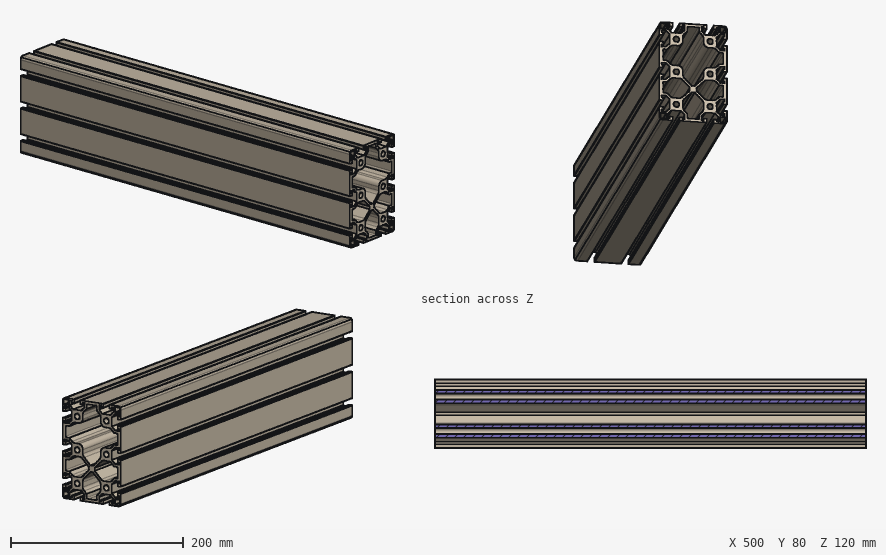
import cadquery as cq


length = 500.0
cell = 40.0
columns = 2
rows = 3
half_width = columns * cell / 2
half_height = rows * cell / 2
half_cell = cell / 2
corner_radius = 4.0

mouth_half = 4.0
mouth_chamfer = 0.5
lip_half = 7.5
lip_depth = 4.5
undercut_depth = 2.5
groove_half = 10.0

side_skin = 4.5
top_skin = 3.5
wall = 3.0
core_width = 15.5
core_half = core_width / 2
groove_depth = half_cell - core_half
waist_radius = 6.0
skin_radius = 1.5
bore_radius = 3.35
web_half = 2.25
hub_half = 4.0
corner_skin = 1.75
corner_wall = 2.0

throat_half = half_cell - groove_half - wall
waist_half = half_cell - core_half
throat_depth = half_cell - (groove_half + wall - web_half)
waist_depth = half_cell - (core_half - web_half)
far_waist_depth = half_cell + (core_half - web_half)
hub_depth = cell - hub_half
tip_half = hub_half - web_half

select_margin = 0.5

skin_faces = {"left": "<Y", "right": ">Y", "bottom": "<Z", "top": ">Z"}

bore_y = [-half_cell, half_cell]
bore_z = [-cell, 0, cell]


def prism(points):
    """Extrude a closed (y, z) outline over the full length of the beam."""
    return cq.Workplane("YZ").polyline(points).close().extrude(length)


def mirrored(half_outline):
    """Close a half outline by reflecting its (offset, height) points about offset zero."""
    return half_outline + [(-offset, height) for offset, height in reversed(half_outline)]


def facing(outline, side, along):
    """Place an (offset, depth) outline on a face: left, right, bottom or top."""
    if side == "left":
        return [(depth - half_width, along + offset) for offset, depth in outline]
    if side == "right":
        return [(half_width - depth, along + offset) for offset, depth in outline]
    if side == "bottom":
        return [(along + offset, depth - half_height) for offset, depth in outline]
    return [(along + offset, half_height - depth) for offset, depth in outline]


def groove(side, along):
    """T-groove with a chamfered mouth, centred at the given place on a face."""
    shoulder_depth = half_cell - (groove_half + web_half)
    outline = mirrored([
        (mouth_half + mouth_chamfer, 0),
        (mouth_half, mouth_chamfer),
        (mouth_half, lip_depth),
        (lip_half, lip_depth),
        (lip_half, undercut_depth),
        (groove_half, undercut_depth),
        (groove_half, shoulder_depth),
        (core_half - web_half, groove_depth),
    ])
    return prism(facing(outline, side, along))


def round_cavity(cavity, faces):
    """Round the long cavity edges along the skin, then the ones at the cores."""
    for face in faces:
        cavity = cavity.faces(face).edges("|X").fillet(skin_radius)
    reach = core_half + select_margin
    for y in bore_y:
        for z in bore_z:
            near_core = cq.selectors.BoxSelector(
                (-select_margin, y - reach, z - reach),
                (length + select_margin, y + reach, z + reach),
            )
            edges = cavity.edges("|X").edges(near_core)
            if edges.size():
                cavity = edges.fillet(waist_radius)
    return cavity


def lower_cavity(side, along, skin):
    """Chamber between an outer face and the hub."""
    outline = mirrored([
        (throat_half, skin),
        (throat_half, throat_depth),
        (waist_half, waist_depth),
        (waist_half, far_waist_depth),
        (tip_half, hub_depth),
    ])
    return round_cavity(prism(facing(outline, side, along)), [skin_faces[side]])


def upper_cavity():
    """Large chamber reaching the top, left and right skins, narrowing down to the hub."""
    throat_y = half_width - throat_depth
    waist_y = half_width - waist_depth
    outline = mirrored([
        (throat_half, half_height - top_skin),
        (throat_half, half_height - throat_depth),
        (waist_half, half_height - waist_depth),
        (waist_half, half_cell + waist_half),
        (waist_y, half_cell + waist_half),
        (throat_y, half_cell + throat_half),
        (half_width - side_skin, half_cell + throat_half),
        (half_width - side_skin, half_cell - throat_half),
        (throat_y, half_cell - throat_half),
        (waist_y, half_cell - waist_half),
        (waist_half, half_cell - waist_half),
        (waist_half, half_height - cell - far_waist_depth),
        (tip_half, hub_half - half_cell),
    ])
    return round_cavity(prism(outline), [skin_faces[side] for side in ("left", "right", "top")])


def corner_cavities():
    """Small square channel in each outer corner."""
    size = half_cell - groove_half - corner_wall - corner_skin
    inset = corner_skin + size / 2
    return (
        cq.Workplane("YZ")
        .rect(2 * (half_width - inset), 2 * (half_height - inset), forConstruction=True)
        .vertices()
        .rect(size, size)
        .extrude(length)
    )


result = (
    cq.Workplane("YZ")
    .rect(2 * half_width, 2 * half_height)
    .extrude(length)
    .edges("|X")
    .fillet(corner_radius)
)

for z in bore_z:
    result = result.cut(groove("left", z)).cut(groove("right", z))
for y in bore_y:
    result = result.cut(groove("bottom", y)).cut(groove("top", y))

for side in ("left", "right"):
    result = result.cut(lower_cavity(side, -half_cell, side_skin))
result = result.cut(lower_cavity("bottom", 0, top_skin))
result = result.cut(upper_cavity())
result = result.cut(corner_cavities())

bore_centres = [(y, z) for y in bore_y for z in bore_z]
bores = cq.Workplane("YZ").pushPoints(bore_centres).circle(bore_radius).extrude(length)
result = result.cut(bores).translate((-length / 2, 0, 0))